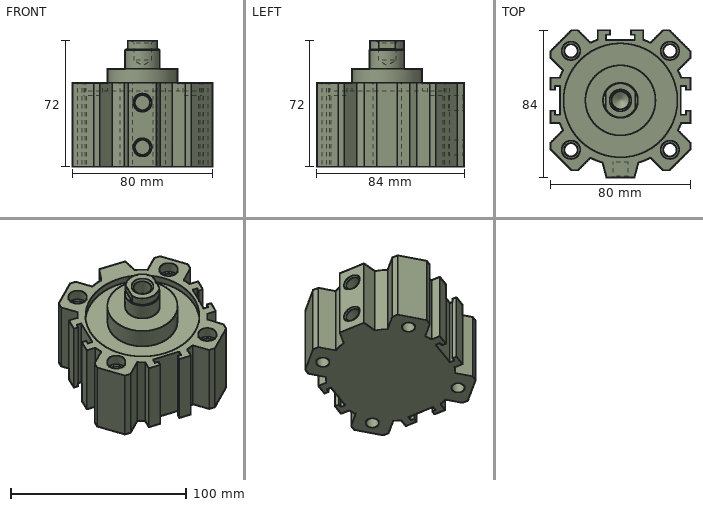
import cadquery as cq
import math

housing_height = 48
half_width = 40
core_radius = 37
arm_half_width = 11.1
arm_reach = 48

rail_outer_half_width = 13
slot_half_width = 8.1
slot_mouth_half_width = 5.9
slot_floor = 34.5
lip_thickness = 2.7
rail_angles = [0, 90, 180]

port_face = 44
boss_half_width = 8
boss_side_angle = 15

port_diameter = 8.6
port_chamfer = 0.9
port_depth = 9
port_heights = [11.2, 36.7]

mount_offset = 28.2
mount_diameter = 7.5
counterbore_diameter = 10.5
counterbore_depth = 7

recess_diameter = 65
recess_depth = 4.5
collar_diameter = 40
collar_top = housing_height + 8

rod_diameter = 20
rod_top = 72
rod_head_diameter = 19.5
rod_head_height = 5
neck_height = 0.5
flat_half_spacing = 8.5
flat_depth = 4.6
flat_runout_angle = 30
thread_diameter = 10.2
thread_chamfer = 1.1
thread_depth = 11
drill_tip_angle = 118


def corner_arms():
    """Two crossed diagonal bars, trimmed to the square envelope."""
    envelope = cq.Workplane("XY").rect(2 * half_width, 2 * half_width).extrude(housing_height)
    bars = cq.Workplane("XY")
    for angle in (45, 135):
        bar = cq.Workplane("XY").rect(2 * arm_reach, 2 * arm_half_width).extrude(housing_height)
        bars = bars.add(bar.rotate((0, 0, 0), (0, 0, 1), angle))
    return bars.combine().intersect(envelope)


def rail_block():
    """Solid block on the +X side that carries one T-slot."""
    return (
        cq.Workplane("XY")
        .rect(half_width, 2 * rail_outer_half_width)
        .extrude(housing_height)
        .translate((half_width / 2, 0, 0))
    )


def t_slot():
    """T-shaped channel that opens on the +X side."""
    lip_inside = half_width - lip_thickness
    return (
        cq.Workplane("XY")
        .moveTo(slot_floor, -slot_half_width)
        .lineTo(lip_inside, -slot_half_width)
        .lineTo(lip_inside, -slot_mouth_half_width)
        .lineTo(half_width, -slot_mouth_half_width)
        .lineTo(half_width, slot_mouth_half_width)
        .lineTo(lip_inside, slot_mouth_half_width)
        .lineTo(lip_inside, slot_half_width)
        .lineTo(slot_floor, slot_half_width)
        .close()
        .extrude(housing_height)
    )


def port_boss():
    """Tapered boss running the full height of the -Y side."""
    root = recess_diameter / 2
    root_half_width = boss_half_width + (port_face - root) * math.tan(math.radians(boss_side_angle))
    return (
        cq.Workplane("XY")
        .polyline([
            (-boss_half_width, -port_face),
            (boss_half_width, -port_face),
            (root_half_width, -root),
            (-root_half_width, -root),
        ])
        .close()
        .extrude(housing_height)
    )


def port_hole(height):
    """Blind round port with a chamfered mouth, drilled along +Y."""
    radius = port_diameter / 2
    profile = (
        cq.Workplane("XY")
        .moveTo(0, -port_face)
        .lineTo(radius + port_chamfer, -port_face)
        .lineTo(radius, -port_face + port_chamfer)
        .lineTo(radius, -port_face + port_depth)
        .lineTo(0, -port_face + port_depth)
        .close()
    )
    return profile.revolve(360, (0, 0, 0), (0, 1, 0)).translate((0, 0, height))


def make_housing():
    body = cq.Workplane("XY").circle(core_radius).extrude(housing_height)
    body = body.union(corner_arms()).union(port_boss())
    for angle in rail_angles:
        body = body.union(rail_block().rotate((0, 0, 0), (0, 0, 1), angle))
    for angle in rail_angles:
        body = body.cut(t_slot().rotate((0, 0, 0), (0, 0, 1), angle))

    body = (
        body.faces(">Z")
        .workplane(origin=(0, 0, housing_height))
        .rect(2 * mount_offset, 2 * mount_offset, forConstruction=True)
        .vertices()
        .cboreHole(mount_diameter, counterbore_diameter, counterbore_depth)
    )

    for height in port_heights:
        body = body.cut(port_hole(height))

    recess_floor = cq.Workplane("XY", origin=(0, 0, housing_height - recess_depth))
    recess = recess_floor.circle(recess_diameter / 2).extrude(recess_depth)
    collar = recess_floor.circle(collar_diameter / 2).extrude(collar_top - housing_height + recess_depth)
    return body.cut(recess).union(collar)


def thread_hole():
    """Blind centre hole with a chamfered mouth and a conical drill tip."""
    radius = thread_diameter / 2
    tip_length = radius / math.tan(math.radians(drill_tip_angle / 2))
    return (
        cq.Workplane("XZ")
        .moveTo(0, rod_top)
        .lineTo(radius + thread_chamfer, rod_top)
        .lineTo(radius, rod_top - thread_chamfer)
        .lineTo(radius, rod_top - thread_depth)
        .lineTo(0, rod_top - thread_depth - tip_length)
        .close()
        .revolve(360, (0, 0, 0), (0, 1, 0))
    )


def wrench_flat():
    """Cutter for the +X wrench flat, with a sloping floor that falls outward."""
    outer = rod_diameter
    flat_bottom = rod_top - flat_depth
    drop = (outer - flat_half_spacing) * math.tan(math.radians(flat_runout_angle))
    return (
        cq.Workplane("XZ")
        .polyline([
            (flat_half_spacing, rod_top),
            (flat_half_spacing, flat_bottom),
            (outer, flat_bottom - drop),
            (outer, rod_top),
        ])
        .close()
        .extrude(rod_diameter / 2, both=True)
    )


def make_piston_rod():
    head_bottom = rod_top - rod_head_height
    rod = (
        cq.Workplane("XZ")
        .moveTo(0, collar_top)
        .lineTo(rod_diameter / 2, collar_top)
        .lineTo(rod_diameter / 2, head_bottom - neck_height)
        .lineTo(rod_head_diameter / 2, head_bottom)
        .lineTo(rod_head_diameter / 2, rod_top)
        .lineTo(0, rod_top)
        .close()
        .revolve(360, (0, 0, 0), (0, 1, 0))
    )
    rod = rod.cut(thread_hole())
    for angle in (0, 180):
        rod = rod.cut(wrench_flat().rotate((0, 0, 0), (0, 0, 1), angle))
    return rod


housing = make_housing()
piston_rod = make_piston_rod()
result = cq.Compound.makeCompound([housing.val(), piston_rod.val()])